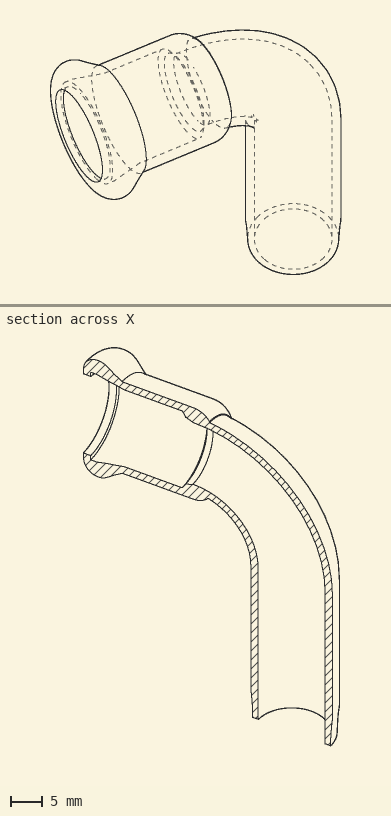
import cadquery as cq
import math

total_height = 59.55
bead_diameter = 23.15
socket_axis_z = total_height - bead_diameter / 2

tube_radius = 7.5
tube_bore_radius = 6.1
tip_radius = 7.15
taper_height = 4.45
taper_top_radius = 7.4
tip_band_top = 5.35

bend_radius = 18.0
spigot_height = socket_axis_z - bend_radius

mouth_distance = 38.0
shoulder_start = 14.95
shoulder_end = bend_radius
shoulder_start_radius = 7.5
socket_radius = 9.1
barrel_end = 30.9
bead_tube_radius = 2.7
bead_ring_radius = bead_diameter / 2 - bead_tube_radius
bead_center = mouth_distance - bead_tube_radius
bead_start = 33.7

stop_radius = 6.6
stop_distance = 19.35
bore_radius = 7.55
bore_step_distance = 19.95
mouth_radius = 7.8
lead_in_depth = 6.4
lead_in_length = 1.15
lead_in_start = mouth_distance - lead_in_depth
lead_in_end = lead_in_start - lead_in_length
groove_radius = 8.65
groove_width = 1.0
lip_length = 1.35
groove_front = mouth_distance - lip_length
groove_back = groove_front - groove_width


def bead_point(distance):
    """Point on the rounded bead at a given distance along the socket."""
    offset = distance - bead_center
    return (bead_ring_radius + math.sqrt(bead_tube_radius**2 - offset**2), distance)


def shoulder_point(distance):
    """Point on the shoulder arc, which is tangent to the barrel."""
    length = shoulder_end - shoulder_start
    rise = socket_radius - shoulder_start_radius
    arc_radius = (length**2 + rise**2) / (2 * rise)
    offset = shoulder_end - distance
    return (socket_radius - arc_radius + math.sqrt(arc_radius**2 - offset**2), distance)


def revolve_about_socket_axis(profile):
    """Revolve a (radius, distance) profile and lay its axis along -Y."""
    body = profile.close().revolve(360, (0, 0, 0), (0, 1, 0))
    return body.rotate((0, 0, 0), (1, 0, 0), 180).translate((0, 0, socket_axis_z))


def make_bend(radius):
    return (
        cq.Workplane("XY", origin=(0, 0, spigot_height))
        .circle(radius)
        .revolve(90, (-0.6, -bend_radius, 0), (0.6, -bend_radius, 0))
    )


def make_spigot():
    return (
        cq.Workplane("XZ")
        .moveTo(0, 0)
        .lineTo(tip_radius, 0)
        .lineTo(taper_top_radius, taper_height)
        .lineTo(tube_radius, tip_band_top)
        .lineTo(tube_radius, spigot_height)
        .lineTo(0, spigot_height)
        .close()
        .revolve(360, (0, 0, 0), (0, 1, 0))
    )


def make_socket():
    profile = (
        cq.Workplane("XY")
        .moveTo(0, shoulder_start)
        .lineTo(shoulder_start_radius, shoulder_start)
        .threePointArc(shoulder_point((shoulder_start + shoulder_end) / 2), (socket_radius, shoulder_end))
        .lineTo(socket_radius, barrel_end)
        .lineTo(*bead_point(bead_start))
        .threePointArc(bead_point(bead_center), (bead_ring_radius, mouth_distance))
        .lineTo(0, mouth_distance)
    )
    return revolve_about_socket_axis(profile)


def make_socket_bore():
    profile = (
        cq.Workplane("XY")
        .moveTo(0, bend_radius)
        .lineTo(tube_bore_radius, bend_radius)
        .lineTo(stop_radius, stop_distance)
        .lineTo(bore_radius, bore_step_distance)
        .lineTo(bore_radius, lead_in_end)
        .lineTo(mouth_radius, lead_in_start)
        .lineTo(groove_radius, groove_back)
        .lineTo(groove_radius, groove_front)
        .lineTo(mouth_radius, groove_front)
        .lineTo(mouth_radius, mouth_distance)
        .lineTo(0, mouth_distance)
    )
    return revolve_about_socket_axis(profile)


outer = make_spigot().union(make_bend(tube_radius)).union(make_socket())
spigot_bore = cq.Workplane("XY").circle(tube_bore_radius).extrude(spigot_height)
result = outer.cut(spigot_bore).cut(make_bend(tube_bore_radius)).cut(make_socket_bore())